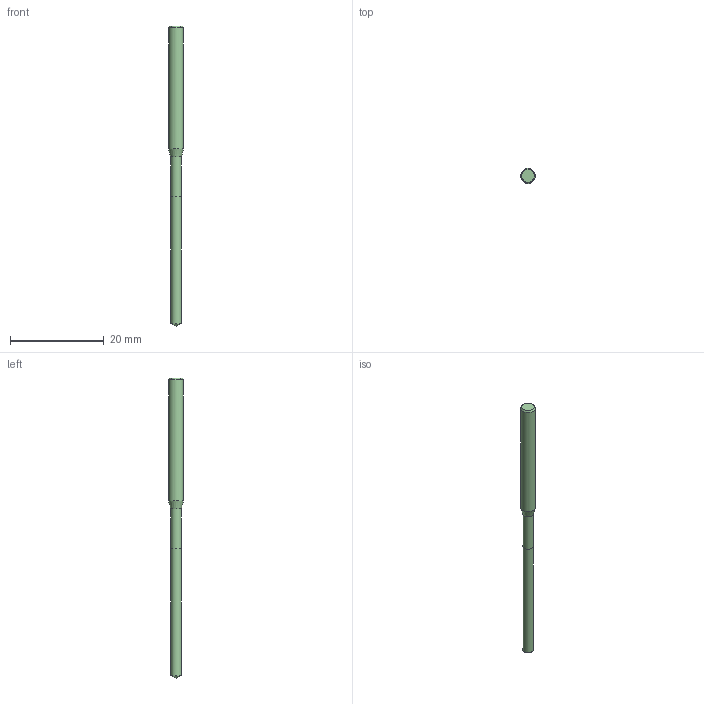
import cadquery as cq
import math

total_length = 64.0

shank_diameter = 3.175
shank_length = 26.2
end_chamfer_width = 0.23
end_chamfer_height = 0.4
taper_half_angle = 15.0

drill_diameter = 2.26
drill_length = 27.6
point_angle = 130.0

shank_radius = shank_diameter / 2
drill_radius = drill_diameter / 2
neck_radius = drill_radius

taper_top = total_length - shank_length
taper_height = (shank_radius - neck_radius) / math.tan(math.radians(taper_half_angle))
taper_bottom = taper_top - taper_height
point_height = drill_radius / math.tan(math.radians(point_angle / 2))


def turned_body(profile):
    """Revolve a closed outline of (radius, height) points about Z."""
    return cq.Workplane("XZ").polyline(profile).close().revolve(360, (0, 0, 0), (0, 1, 0))


def make_shank():
    """Chamfered shank with a tapered shoulder down to the neck, which ends flat on the drill."""
    profile = [
        (0, drill_length),
        (neck_radius, drill_length),
        (neck_radius, taper_bottom),
        (shank_radius, taper_top),
        (shank_radius, total_length - end_chamfer_height),
        (shank_radius - end_chamfer_width, total_length),
        (0, total_length),
    ]
    return turned_body(profile)


def make_drill():
    """Plain cylinder with a conical point, butted against the flat end of the neck."""
    profile = [
        (0, 0),
        (drill_radius, point_height),
        (drill_radius, drill_length),
        (0, drill_length),
    ]
    return turned_body(profile)


shank = make_shank()
drill = make_drill()

result = cq.Compound.makeCompound([shank.val(), drill.val()])